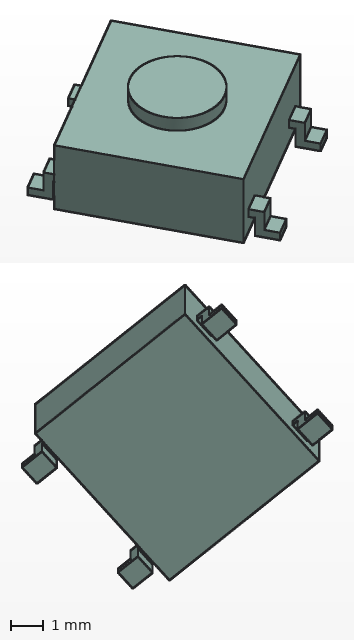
import cadquery as cq

body_length = 6.0
body_width = 6.3
body_height = 2.5
standoff = 0.1

button_diameter = 3.0
button_height = 0.5

lead_span = 8.0
lead_pitch = 4.5
lead_width = 0.7
lead_thickness = 0.3
lead_height = 1.0
shoulder_length = 0.5

body_side = body_length / 2
body_top = standoff + body_height


def make_body():
    return (
        cq.Workplane("XY")
        .workplane(offset=standoff)
        .rect(body_length, body_width)
        .extrude(body_height)
    )


def make_button():
    return (
        cq.Workplane("XY")
        .workplane(offset=body_top)
        .circle(button_diameter / 2)
        .extrude(button_height)
    )


def make_lead(side, y_center):
    """Z-shaped lead on the +X (side = 1) or -X (side = -1) face of the housing."""
    toe = lead_span / 2
    riser_outer = body_side + shoulder_length
    riser_inner = riser_outer - lead_thickness
    shoulder_bottom = lead_height - lead_thickness
    profile = [
        (body_side, lead_height),
        (riser_outer, lead_height),
        (riser_outer, lead_thickness),
        (toe, lead_thickness),
        (toe, 0),
        (riser_inner, 0),
        (riser_inner, shoulder_bottom),
        (body_side, shoulder_bottom),
    ]
    return (
        cq.Workplane("XZ", origin=(0, y_center, 0))
        .polyline([(side * x, z) for x, z in profile])
        .close()
        .extrude(lead_width / 2, both=True)
    )


result = make_body().union(make_button())
for side in (-1, 1):
    for y_center in (-lead_pitch / 2, lead_pitch / 2):
        result = result.union(make_lead(side, y_center))